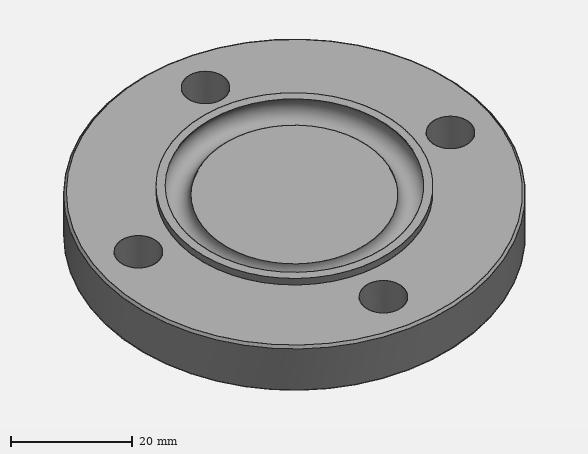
import cadquery as cq
import math

flange_diameter = 76.0
flange_thickness = 10.0
edge_chamfer = 0.45

face_diameter = 45.6
face_height = 1.45
recess_diameter = 42.55
floor_diameter = 34.05
recess_depth = 2.0
groove_radius = 2.5

hole_count = 4
hole_diameter = 8.0
bolt_circle_diameter = 59.1

top = flange_thickness + face_height


def flange_body():
    disc = cq.Workplane("XY").circle(flange_diameter / 2).extrude(flange_thickness)
    disc = disc.edges().chamfer(edge_chamfer)
    face = cq.Workplane("XY").circle(face_diameter / 2).extrude(top)
    return disc.union(face)


def grooved_recess():
    """Flat sunken floor ringed by a round groove that undercuts the rim."""
    rim_radius = recess_diameter / 2
    floor_radius = floor_diameter / 2
    floor_z = top - recess_depth
    width = rim_radius - floor_radius
    chord = math.hypot(width, recess_depth)
    groove_depth = groove_radius + math.sqrt(groove_radius**2 - (chord / 2) ** 2)
    groove_bottom = (
        (floor_radius + rim_radius) / 2 + groove_depth * recess_depth / chord,
        (floor_z + top) / 2 - groove_depth * width / chord,
    )
    return (
        cq.Workplane("XZ")
        .moveTo(0, floor_z)
        .lineTo(floor_radius, floor_z)
        .threePointArc(groove_bottom, (rim_radius, top))
        .lineTo(0, top)
        .close()
        .revolve(360, (0, 0, 0), (0, 1, 0))
    )


def bolt_holes():
    return (
        cq.Workplane("XY")
        .polarArray(bolt_circle_diameter / 2, 0, 360, hole_count)
        .circle(hole_diameter / 2)
        .extrude(flange_thickness)
    )


result = flange_body().cut(grooved_recess()).cut(bolt_holes())